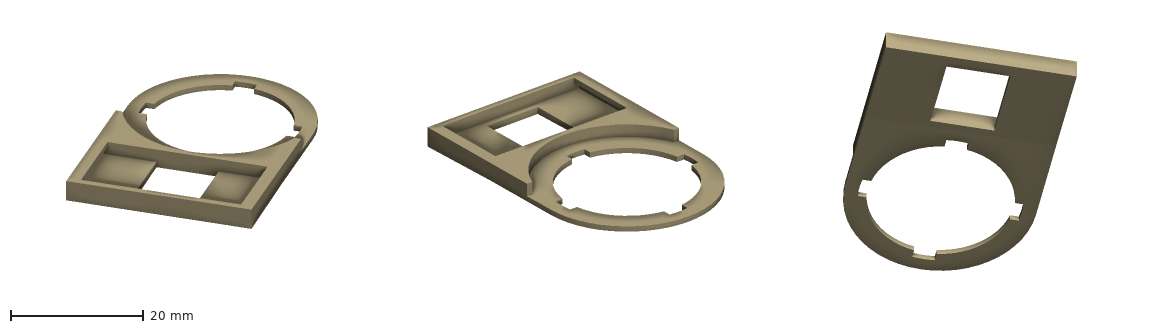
import cadquery as cq

length = 44.55
width = 29.5
ring_radius = width / 2
ring_y = length - ring_radius

ring_thickness = 0.9
block_top = 3.0
underside_drop = 0.3
slope_start_y = 15.15

shoulder_y = 24.0
seat_radius = 14.92

hole_radius = 11.23
notch_radius = 12.55
notch_width = 3.47

recess_width = 25.5
recess_bottom_y = 1.05
recess_top_y = 13.9
recess_floor = ring_thickness
lip_thickness = 0.85
lip_overhang = 1.0
window_width = 9.9
window_bottom_y = 2.1

cut_height = 3 * block_top


def centered_box(box_width, y_min, y_max, z_min, z_max):
    """Box symmetric about X = 0 between the given Y and Z limits."""
    return (
        cq.Workplane("XY")
        .box(box_width, y_max - y_min, z_max - z_min, centered=(True, False, False))
        .translate((0, y_min, z_min))
    )


def ring_disc(radius, z_min, height):
    """Disc on the ring axis."""
    return cq.Workplane("XY").center(0, ring_y).circle(radius).extrude(height).translate((0, 0, z_min))


def base_plate():
    """Thin plate with one semicircular end."""
    straight = centered_box(width, 0, ring_y, 0, ring_thickness)
    return straight.union(ring_disc(ring_radius, 0, ring_thickness))


def raised_block():
    """Thick end, hollowed by the round seat, with a gently sloping underside."""
    block = (
        cq.Workplane("YZ")
        .moveTo(0, -underside_drop)
        .lineTo(slope_start_y, 0)
        .lineTo(shoulder_y, 0)
        .lineTo(shoulder_y, block_top)
        .lineTo(0, block_top)
        .close()
        .extrude(width / 2, both=True)
    )
    return block.cut(ring_disc(seat_radius, ring_thickness, block_top))


def ring_opening():
    """Round hole with notches at the four quarter points."""
    bottom = -cut_height / 2
    reach = 2 * ring_radius
    bar = centered_box(notch_width, ring_y - reach, ring_y + reach, bottom, -bottom)
    cross_bar = bar.rotate((0, ring_y, 0), (0, ring_y, 1), 90)
    notches = bar.union(cross_bar).intersect(ring_disc(notch_radius, bottom, cut_height))
    return ring_disc(hole_radius, bottom, cut_height).union(notches)


def label_recess():
    """Pocket open at the top, undercut below a retaining lip on both X sides."""
    opening = centered_box(recess_width, recess_bottom_y, recess_top_y, recess_floor, cut_height)
    slot_width = recess_width + 2 * lip_overhang
    slot_top = block_top - lip_thickness
    undercut = centered_box(slot_width, recess_bottom_y, recess_top_y, recess_floor, slot_top)
    return opening.union(undercut)


window = centered_box(window_width, window_bottom_y, recess_top_y, -cut_height, cut_height)

result = base_plate().union(raised_block()).cut(ring_opening()).cut(label_recess()).cut(window)